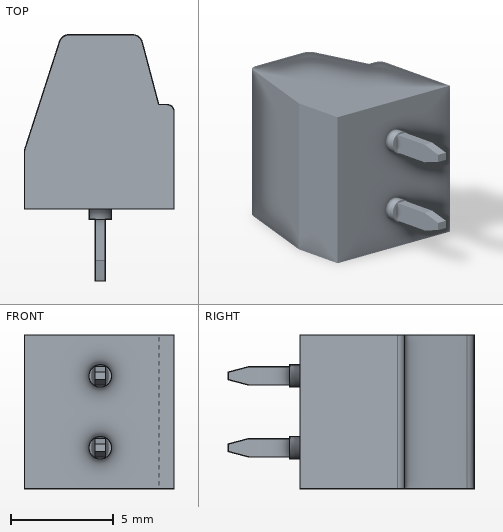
import cadquery as cq

body_width = 7.3
body_depth = 8.5
body_height = 7.5
left_wall_depth = 2.85
step_depth = 5.1
ledge_width = 0.75
top_left = 1.82
top_right = 5.65
top_radius = 0.5
ledge_radius = 0.35

pin_count = 2
pin_pitch = 3.5
pin_x = 3.7
pin_length = 3.5
collar_diameter = 1.1
collar_length = 0.5
pin_thickness = 0.5
pin_width = 0.9
tip_width = 0.37
taper_length = 1.0

first_pin_z = (body_height - (pin_count - 1) * pin_pitch) / 2


def make_housing():
    profile = [
        (0, 0),
        (body_width, 0),
        (body_width, step_depth),
        (body_width - ledge_width, step_depth),
        (top_right, body_depth),
        (top_left, body_depth),
        (0, left_wall_depth),
    ]
    housing = cq.Workplane("XY").polyline(profile).close().extrude(body_height)
    housing = housing.edges("|Z and >Y").fillet(top_radius)
    ledge_corner = cq.selectors.NearestToPointSelector((body_width, step_depth, body_height / 2))
    return housing.edges("|Z").edges(ledge_corner).fillet(ledge_radius)


def make_pin(z):
    """Round collar followed by a flat blade with a tapered tip."""
    collar = cq.Workplane("XZ").center(pin_x, z).circle(collar_diameter / 2).extrude(collar_length)
    taper_start = taper_length - pin_length
    blade_outline = [
        (0, z - pin_width / 2),
        (taper_start, z - pin_width / 2),
        (-pin_length, z - tip_width / 2),
        (-pin_length, z + tip_width / 2),
        (taper_start, z + pin_width / 2),
        (0, z + pin_width / 2),
    ]
    blade = (
        cq.Workplane("YZ", origin=(pin_x, 0, 0))
        .polyline(blade_outline)
        .close()
        .extrude(pin_thickness / 2, both=True)
    )
    return collar.union(blade)


result = make_housing()
for index in range(pin_count):
    result = result.union(make_pin(first_pin_z + index * pin_pitch))